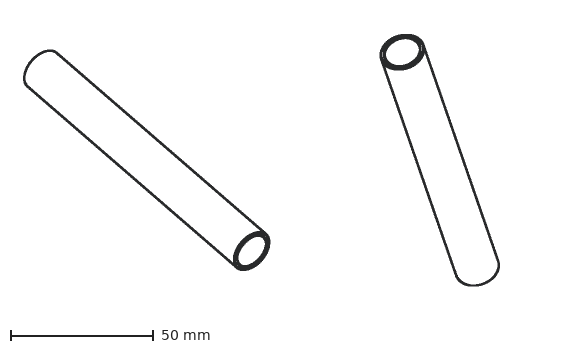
import cadquery as cq

length = 121.9
outer_diameter = 15.6
bore_diameter = 12.5
rim_chamfer = 0.3

tube = (
    cq.Workplane("YZ")
    .workplane(offset=-length / 2)
    .circle(outer_diameter / 2)
    .circle(bore_diameter / 2)
    .extrude(length)
)

result = tube.faces("<X or >X").edges().chamfer(rim_chamfer)